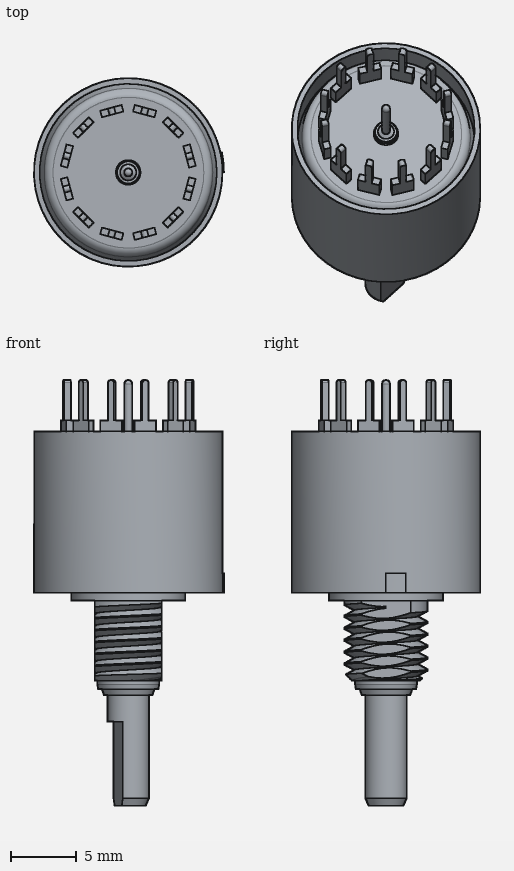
import cadquery as cq
import math


can_radius = 14.35 / 2
can_height = 12.27
recess_radius = 6.75
base_top = 11.33
base_radius = 6.4
base_edge_radius = 0.68
base_taper_height = 0.97

tab_radius = 7.3
tab_height = 1.5
tab_angle = 12.0

flange_radius = 4.35
flange_bottom = -0.58
thread_radius = 3.17
root_radius = 2.43
thread_bottom = -6.67
thread_end_chamfer = 0.58
thread_pitch = 0.9
groove_clearance = 0.05
crest_width = 0.03
groove_start = -5.85
groove_start_angle = 270.0
groove_lead_in = 1.6
groove_turns = 5.25
flat_distance = 2.55
collar_radius = 2.35
collar_shoulder = -6.93
collar_bottom = -7.32
collar_end_radius = 2.3
nose_radius = 2.0
nose_end_radius = 1.85
nose_bottom = -7.77

shaft_radius = 1.6
shaft_bottom = -16.2
shaft_chamfer_height = 0.58
shaft_chamfer_depth = 0.25
shaft_flat_top = -9.78
shaft_flat_distance = shaft_radius / 2
shaft_flat_angle = 195.0

terminal_count = 12
terminal_circle_radius = 4.82
terminal_thickness = 0.52
blade_width = 1.68
blade_top = 13.1
pin_width = 0.5
pin_top = 16.2
pin_crown = 0.2

centre_pin_radius = 0.308
eyelet_radius = 0.85
eyelet_foot_radius = 0.95
eyelet_foot_height = 0.1
eyelet_height = 0.42
bead_radius = 0.6
bead_height = 0.2


def revolve(profile):
    """Revolve a closed (radius, z) profile about Z."""
    return profile.close().revolve(360, (0, 0, 0), (0, 1, 0))


def make_can():
    """Solid can, recessed at the top around the tapered, round-edged terminal base."""
    edge_start = base_radius - base_edge_radius
    edge_mid = base_edge_radius * math.sqrt(0.5)
    edge_bottom = base_top - base_edge_radius
    profile = (
        cq.Workplane("XZ")
        .lineTo(can_radius, 0)
        .lineTo(can_radius, can_height)
        .lineTo(recess_radius, can_height)
        .lineTo(recess_radius, edge_bottom - base_taper_height)
        .lineTo(base_radius, edge_bottom)
        .threePointArc((edge_start + edge_mid, edge_bottom + edge_mid), (edge_start, base_top))
        .lineTo(0, base_top)
    )
    return revolve(profile)


def make_tab():
    """Sector of a slightly larger cylinder, standing proud of the can on the +X side."""

    def on_tab(angle):
        turn = math.radians(angle)
        return tab_radius * math.cos(turn), tab_radius * math.sin(turn)

    return (
        cq.Workplane("XY")
        .lineTo(*on_tab(0))
        .threePointArc(on_tab(tab_angle / 2), on_tab(tab_angle))
        .close()
        .extrude(tab_height)
    )


def make_thread_groove():
    """One V-shaped helical cutter, starting below the end of the bushing."""
    outer_radius = thread_radius + groove_clearance
    half_width = (thread_pitch - crest_width) / 2
    turns = groove_lead_in + groove_turns
    helix = cq.Wire.makeHelix(thread_pitch, turns * thread_pitch, root_radius)
    cutter = (
        cq.Workplane("XZ")
        .moveTo(root_radius, 0)
        .lineTo(outer_radius, half_width)
        .lineTo(outer_radius, -half_width)
        .close()
        .sweep(cq.Workplane(helix), isFrenet=True)
    )
    bottom = groove_start - groove_lead_in * thread_pitch
    bottom_angle = groove_start_angle - groove_lead_in * 360
    return cutter.rotate((0, 0, 0), (0, 0, 1), bottom_angle).translate((0, 0, bottom))


def make_bushing():
    """Mounting flange, flatted thread and stepped nose."""
    profile = (
        cq.Workplane("XZ")
        .moveTo(0, flange_bottom)
        .lineTo(thread_radius, flange_bottom)
        .lineTo(thread_radius, thread_bottom + thread_end_chamfer)
        .lineTo(thread_radius - thread_end_chamfer, thread_bottom)
        .lineTo(collar_radius, thread_bottom)
        .lineTo(collar_radius, collar_shoulder)
        .lineTo(collar_end_radius, collar_bottom)
        .lineTo(nose_radius, collar_bottom)
        .lineTo(nose_end_radius, nose_bottom)
        .lineTo(0, nose_bottom)
    )
    flats = cq.Workplane("XY").rect(2 * flat_distance, 2 * flange_radius).extrude(nose_bottom)
    stud = revolve(profile).cut(make_thread_groove()).intersect(flats)
    flange = cq.Workplane("XY").circle(flange_radius).extrude(flange_bottom)
    return flange.union(stud)


def make_terminal():
    """Flat blade carrying a narrow pin, standing on the +X side."""
    blade = (
        cq.Workplane("XY", origin=(terminal_circle_radius, 0, base_top))
        .rect(terminal_thickness, blade_width)
        .extrude(blade_top - base_top)
    )
    half_width = pin_width / 2
    shoulder = pin_top - pin_crown
    pin = (
        cq.Workplane("YZ", origin=(terminal_circle_radius, 0, 0))
        .moveTo(-half_width, base_top)
        .lineTo(half_width, base_top)
        .lineTo(half_width, shoulder)
        .threePointArc((0, pin_top), (-half_width, shoulder))
        .close()
        .extrude(terminal_thickness / 2, both=True)
    )
    return blade.union(pin)


def make_centre_terminal():
    """Dome-ended round pin in a flared eyelet, with a conical bead at its foot."""
    eyelet_top = base_top + eyelet_height
    dome_base = pin_top - centre_pin_radius
    dome_mid = dome_base + centre_pin_radius * math.sqrt(0.5)
    profile = (
        cq.Workplane("XZ")
        .moveTo(0, base_top)
        .lineTo(eyelet_foot_radius, base_top)
        .lineTo(eyelet_radius, base_top + eyelet_foot_height)
        .lineTo(eyelet_radius, eyelet_top)
        .lineTo(bead_radius, eyelet_top)
        .lineTo(centre_pin_radius, eyelet_top + bead_height)
        .lineTo(centre_pin_radius, dome_base)
        .threePointArc((centre_pin_radius * math.sqrt(0.5), dome_mid), (0, pin_top))
    )
    return revolve(profile)


def make_housing():
    """Can, bushing and terminals, with a blind bore for the shaft."""
    housing = make_can().union(make_tab()).union(make_bushing()).union(make_centre_terminal())
    spacing = 360 / terminal_count
    for index in range(terminal_count):
        angle = (index + 0.5) * spacing
        housing = housing.union(make_terminal().rotate((0, 0, 0), (0, 0, 1), angle))
    bore = cq.Workplane("XY").circle(shaft_radius).extrude(nose_bottom)
    return housing.cut(bore)


def make_shaft():
    """Round shaft with a chamfered end and one flat."""
    profile = (
        cq.Workplane("XZ")
        .lineTo(shaft_radius, 0)
        .lineTo(shaft_radius, shaft_bottom + shaft_chamfer_height)
        .lineTo(shaft_radius - shaft_chamfer_depth, shaft_bottom)
        .lineTo(0, shaft_bottom)
    )
    flat = (
        cq.Workplane("XY", origin=(0, 0, shaft_flat_top))
        .center(shaft_flat_distance + shaft_radius / 2, 0)
        .rect(shaft_radius, 2 * shaft_radius)
        .extrude(shaft_bottom - shaft_flat_top)
        .rotate((0, 0, 0), (0, 0, 1), shaft_flat_angle)
    )
    return revolve(profile).cut(flat)


housing = make_housing()
shaft = make_shaft()
result = cq.Compound.makeCompound([housing.solids().val(), shaft.solids().val()])